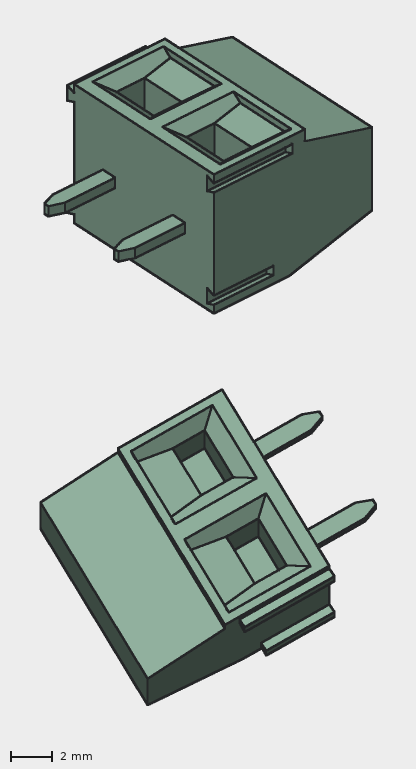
import cadquery as cq
import math


pitch = 5.08
pole_count = 2
body_width = pole_count * pitch
body_length = 10.1
body_height = 8.1
slope_angle = math.radians(15)
top_flat_length = 5.8
rim_step = 0.7
bottom_flat_length = 4.8

rail_depth = 0.5
rail_wide = 0.9
rail_narrow = 0.54
rail_edge_offset = 0.78
upper_rail_length = 5.0
lower_rail_length = 3.8

pin_width = 0.9
pin_thickness = 0.6
pin_length = 4.0
pin_tip_width = 0.3
pin_tip_length = 0.8
pin_center_z = 3.9

window_width = 4.2
window_front = 0.8
window_back = 5.32
well_width = 2.7
well_front = 1.67
well_back = 3.45
funnel_depth = 0.6
back_wall_depth = 0.4
well_floor_z = pin_center_z + pin_thickness / 2


def make_body():
    slope_tangent = math.tan(slope_angle)
    upper_slope_start = body_height - rim_step
    upper_slope_end = upper_slope_start - (body_length - top_flat_length) * slope_tangent
    lower_slope_end = (body_length - bottom_flat_length) * slope_tangent
    side_outline = [
        (0, 0),
        (bottom_flat_length, 0),
        (body_length, lower_slope_end),
        (body_length, upper_slope_end),
        (top_flat_length, upper_slope_start),
        (top_flat_length, body_height),
        (0, body_height),
    ]
    return cq.Workplane("YZ").polyline(side_outline).close().extrude(body_width)


def make_dovetail(root_x, center_z, length):
    """Bar along +Y that widens from its root at root_x towards -X."""
    wide_x = root_x - rail_depth
    section = [
        (root_x, center_z - rail_narrow / 2),
        (root_x, center_z + rail_narrow / 2),
        (wide_x, center_z + rail_wide / 2),
        (wide_x, center_z - rail_wide / 2),
    ]
    return cq.Workplane("XZ").polyline(section).close().extrude(-length)


def make_pin(center_x):
    half_width = pin_width / 2
    half_tip = pin_tip_width / 2
    shoulder_y = pin_tip_length - pin_length
    outline = [
        (center_x - half_width, 0),
        (center_x - half_width, shoulder_y),
        (center_x - half_tip, -pin_length),
        (center_x + half_tip, -pin_length),
        (center_x + half_width, shoulder_y),
        (center_x + half_width, 0),
    ]
    pin_bottom = pin_center_z - pin_thickness / 2
    return cq.Workplane("XY", origin=(0, 0, pin_bottom)).polyline(outline).close().extrude(pin_thickness)


def make_window(center_x):
    """Cutter for one window: two crossed profiles form the funnel, above a rectangular well."""
    funnel_bottom = body_height - funnel_depth
    length_profile = [
        (window_front, body_height),
        (well_front, funnel_bottom),
        (well_back, funnel_bottom),
        (window_back, body_height - back_wall_depth),
        (window_back, body_height),
    ]
    width_profile = [
        (center_x - window_width / 2, body_height),
        (center_x - well_width / 2, funnel_bottom),
        (center_x + well_width / 2, funnel_bottom),
        (center_x + window_width / 2, body_height),
    ]
    along_x = cq.Workplane("YZ").polyline(length_profile).close().extrude(body_width)
    along_y = cq.Workplane("XZ").polyline(width_profile).close().extrude(-body_length)
    well = cq.Workplane("XY").box(
        well_width, well_back - well_front, funnel_bottom - well_floor_z, centered=(True, False, False)
    ).translate((center_x, well_front, well_floor_z))
    return along_x.intersect(along_y).union(well)


result = make_body()

dovetails = [
    (body_height - rail_edge_offset, upper_rail_length),
    (rail_edge_offset, lower_rail_length),
]
for dovetail_z, dovetail_length in dovetails:
    result = result.union(make_dovetail(0, dovetail_z, dovetail_length))
    result = result.cut(make_dovetail(body_width, dovetail_z, dovetail_length))

for pole in range(pole_count):
    pole_x = (pole + 0.5) * pitch
    result = result.cut(make_window(pole_x))
    result = result.union(make_pin(pole_x))